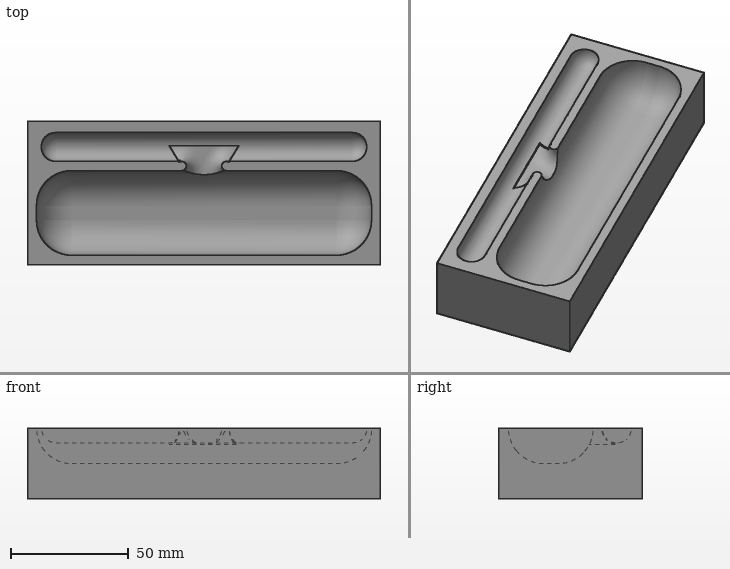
import cadquery as cq
import math

length = 150.0
width = 61.0
height = 30.0

tray_radius = 15.0
tray_flat = 6.0
tray_end_margin = 3.8
tray_front_margin = 4.0
tray_length = length - 2 * tray_end_margin
tray_width = 2 * tray_radius + tray_flat
tray_y = -width / 2 + tray_front_margin + tray_width / 2

groove_radius = 6.2
groove_length = 138.3
groove_back_margin = 4.8
groove_y = width / 2 - groove_back_margin - groove_radius

wall_front_y = tray_y + tray_width / 2
wall_back_y = groove_y - groove_radius
wall_end_radius = (wall_back_y - wall_front_y) / 2
wall_middle_y = (wall_front_y + wall_back_y) / 2
notch_depth = 6.9
flare_radius = 7.5
notch_overlap = 0.6
flare_reach = math.sqrt(flare_radius**2 - (flare_radius - notch_depth) ** 2)
floor_gap = 0.2
wall_end_x = wall_end_radius + flare_reach + floor_gap / 2
notch_end_y = groove_y + notch_overlap
notch_back_half_width = 14.8


def capsule(total_length, radius, y):
    """Round bar along X with hemispherical ends, its axis on the top face."""
    half = total_length / 2
    return (
        cq.Workplane("XY")
        .moveTo(-half, 0)
        .radiusArc((-half + radius, radius), radius)
        .lineTo(half - radius, radius)
        .radiusArc((half, 0), radius)
        .close()
        .revolve(360, (0, 0, 0), (1, 0, 0))
        .translate((0, y, 0))
    )


def tray_cutter():
    """Box with its upright and bottom edges fully rounded."""
    return (
        cq.Workplane("XY", origin=(0, tray_y, -tray_radius))
        .box(tray_length, tray_width, 2 * tray_radius, centered=(True, True, False))
        .edges("|Z or <Z")
        .fillet(tray_radius)
    )


def wall_end():
    """Solid of revolution that flares from the wall end down to the notch floor."""
    return (
        cq.Workplane("XZ")
        .lineTo(wall_end_radius, 0)
        .radiusArc((wall_end_radius + flare_reach, -notch_depth), -flare_radius)
        .lineTo(0, -notch_depth)
        .close()
        .revolve(360, (0, 0, 0), (0, 1, 0))
    )


def notch_cutter():
    """Flat-floored pocket, widening into the groove, less the two flared wall ends."""
    cutter = (
        cq.Workplane("XY")
        .moveTo(-wall_end_x, tray_y)
        .lineTo(wall_end_x, tray_y)
        .lineTo(wall_end_x, wall_middle_y)
        .lineTo(notch_back_half_width, notch_end_y)
        .lineTo(-notch_back_half_width, notch_end_y)
        .lineTo(-wall_end_x, wall_middle_y)
        .close()
        .extrude(-notch_depth)
    )
    for side in (-1, 1):
        cutter = cutter.cut(wall_end().translate((side * wall_end_x, wall_middle_y, 0)))
    return cutter


block = cq.Workplane("XY").box(length, width, height, centered=(True, True, False))
block = block.translate((0, 0, -height))
result = (
    block.cut(tray_cutter())
    .cut(capsule(groove_length, groove_radius, groove_y))
    .cut(notch_cutter())
)